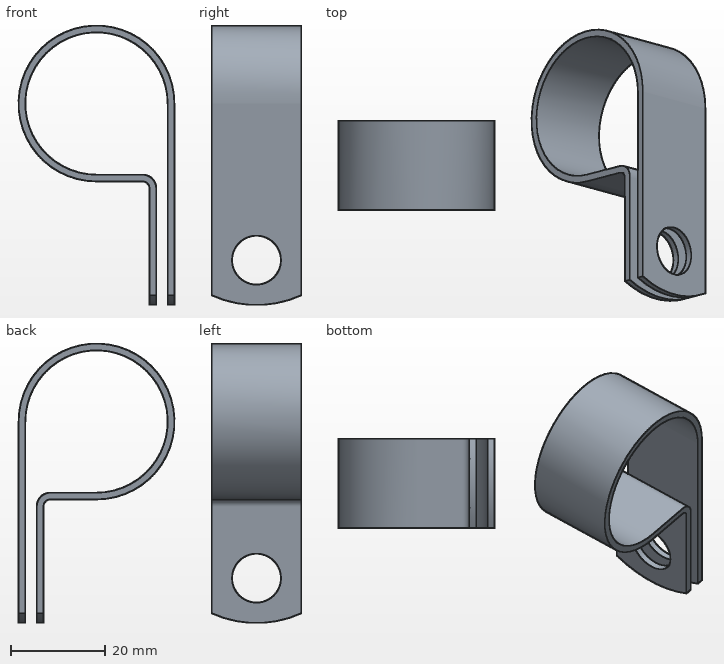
import cadquery as cq
import math

height = 59.45
width = 19.0
thickness = 1.5
loop_radius = 16.6
leg_gap = 2.4
bend_inner_radius = 1.4
hole_diameter = 10.35
hole_above_tip = 9.6
tip_drop = 2.1

loop_inner_radius = loop_radius - thickness
bend_outer_radius = bend_inner_radius + thickness
tip_z = loop_radius - height
short_leg_right = loop_inner_radius - leg_gap
short_leg_left = short_leg_right - thickness
bend_center_x = short_leg_right - bend_outer_radius
bend_center_z = -loop_inner_radius - bend_outer_radius
diagonal = math.sqrt(0.5)


def strip():
    """Bent strip: long leg, three-quarter loop, flat, bend and short leg."""
    return (
        cq.Workplane("XZ")
        .moveTo(loop_radius, tip_z)
        .lineTo(loop_radius, 0)
        .threePointArc((-loop_radius * diagonal, loop_radius * diagonal), (0, -loop_radius))
        .lineTo(bend_center_x, -loop_radius)
        .threePointArc(
            (
                bend_center_x + bend_inner_radius * diagonal,
                bend_center_z + bend_inner_radius * diagonal,
            ),
            (short_leg_left, bend_center_z),
        )
        .lineTo(short_leg_left, tip_z)
        .lineTo(short_leg_right, tip_z)
        .lineTo(short_leg_right, bend_center_z)
        .threePointArc(
            (
                bend_center_x + bend_outer_radius * diagonal,
                bend_center_z + bend_outer_radius * diagonal,
            ),
            (bend_center_x, -loop_inner_radius),
        )
        .lineTo(0, -loop_inner_radius)
        .threePointArc(
            (-loop_inner_radius * diagonal, loop_inner_radius * diagonal),
            (loop_inner_radius, 0),
        )
        .lineTo(loop_inner_radius, tip_z)
        .close()
        .extrude(width / 2, both=True)
    )


def side_outline():
    """Block with the side silhouette, including the curved leg ends."""
    return (
        cq.Workplane("YZ", origin=(-loop_radius, 0, 0))
        .moveTo(-width / 2, loop_radius)
        .lineTo(-width / 2, tip_z + tip_drop)
        .threePointArc((0, tip_z), (width / 2, tip_z + tip_drop))
        .lineTo(width / 2, loop_radius)
        .close()
        .extrude(2 * loop_radius)
    )


def bolt_hole():
    """Cylinder through both legs."""
    return (
        cq.Workplane("YZ")
        .center(0, tip_z + hole_above_tip)
        .circle(hole_diameter / 2)
        .extrude(loop_radius)
    )


result = strip().intersect(side_outline()).cut(bolt_hole())